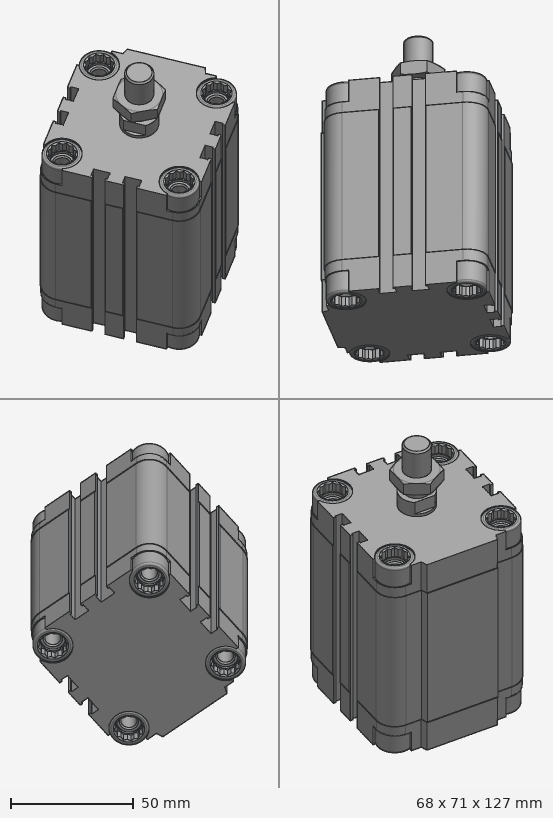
import cadquery as cq
import math

TOTAL_HEIGHT = 127.0

HOUSING_HEIGHT = 95.5
SIDE = 68.0
HALF_SIDE = SIDE / 2
CAP_LENGTH = 14.5
CAP_INSET = 0.3
SCREW_PITCH = 50.0
SCREW_OFFSET = SCREW_PITCH / 2
CORNER_RADIUS = HALF_SIDE - SCREW_OFFSET

BARREL_PAD_Y = 37.02
CAP_PAD_Y = 36.6
PAD_BASE_HALF_WIDTH = 17.7
PAD_TOP_HALF_WIDTH = 16.6

SLOT_OFFSET = 6.7
SLOT_DEPTH = 4.8
SLOT_WIDTH = 7.0
SLOT_MOUTH_WIDTH = 5.5
SLOT_LIP = 1.5
SLOT_CHAMFER = 0.4

BOSS_DIAMETER = 16.4
BOSS_HEIGHT = 9.5
BOSS_FILLET = 1.0
RELIEF_REACH = 2.7

SOCKET_POINT_DIAMETER = 12.0
SOCKET_DEPTH = 4.6
SOCKET_MOUTH_DIAMETER = 12.7
SOCKET_MOUTH_DEPTH = 0.6
SEAT_DIAMETER = 10.2
SEAT_DEPTH = 5.8
LEAD_IN_DIAMETER = 7.9
SCREW_HOLE_DIAMETER = 6.6

ROD_DIAMETER = 16.0
SHOULDER_Z = 102.7
FLATS_Z = 96.9
ACROSS_FLATS = 13.0
THREAD_DIAMETER = 12.0
UNDERCUT_DIAMETER = 10.7
UNDERCUT_TOP_Z = 105.4
ROD_TIP_CHAMFER = 0.8

NUT_ACROSS_FLATS = 19.0
NUT_HEIGHT = 6.0
NUT_BOTTOM_Z = 107.8
NUT_CHAMFER_ANGLE = 15.0


def square_section(bottom, height, inset, pad_y):
    """Rounded square prism with the sloped pad on its +Y side."""
    side = SIDE - 2 * inset
    ledge_y = side / 2
    square = (
        cq.Workplane("XY", origin=(0, 0, bottom))
        .rect(side, side)
        .extrude(height)
        .edges("|Z")
        .fillet(CORNER_RADIUS - inset)
    )
    pad = (
        cq.Workplane("XY", origin=(0, 0, bottom))
        .moveTo(-PAD_BASE_HALF_WIDTH, 0)
        .lineTo(-PAD_BASE_HALF_WIDTH, ledge_y)
        .lineTo(-PAD_TOP_HALF_WIDTH, pad_y)
        .lineTo(PAD_TOP_HALF_WIDTH, pad_y)
        .lineTo(PAD_BASE_HALF_WIDTH, ledge_y)
        .lineTo(PAD_BASE_HALF_WIDTH, 0)
        .close()
        .extrude(height)
    )
    return square.union(pad)


def slot_pair():
    """Two T-slots with chamfered mouths along the full height of the -Y side."""
    half_mouth = SLOT_MOUTH_WIDTH / 2
    half_chamber = SLOT_WIDTH / 2
    lip_y = -HALF_SIDE + SLOT_LIP
    floor_y = -HALF_SIDE + SLOT_DEPTH
    half_opening = half_mouth + SLOT_CHAMFER
    slot = (
        cq.Workplane("XY")
        .moveTo(-half_opening, -HALF_SIDE)
        .lineTo(-half_mouth, -HALF_SIDE + SLOT_CHAMFER)
        .lineTo(-half_mouth, lip_y)
        .lineTo(-half_chamber, lip_y)
        .lineTo(-half_chamber, floor_y)
        .lineTo(half_chamber, floor_y)
        .lineTo(half_chamber, lip_y)
        .lineTo(half_mouth, lip_y)
        .lineTo(half_mouth, -HALF_SIDE + SLOT_CHAMFER)
        .lineTo(half_opening, -HALF_SIDE)
        .close()
        .extrude(HOUSING_HEIGHT)
    )
    return slot.translate((-SLOT_OFFSET, 0, 0)).union(slot.translate((SLOT_OFFSET, 0, 0)))


def corner_relief():
    """Space cleared around the boss of the -X, -Y top corner."""
    size = HALF_SIDE - SCREW_OFFSET + RELIEF_REACH
    base_z = HOUSING_HEIGHT - BOSS_HEIGHT
    square = cq.Workplane("XY").box(size, size, BOSS_HEIGHT, centered=False)
    square = square.translate((-HALF_SIDE, -HALF_SIDE, base_z))
    around_boss = (
        cq.Workplane("XY", origin=(-SCREW_OFFSET, -SCREW_OFFSET, base_z))
        .circle(BOSS_DIAMETER / 2)
        .extrude(BOSS_HEIGHT)
    )
    return square.union(around_boss)


def corner_boss():
    """Round boss of the -X, -Y top corner."""
    return (
        cq.Workplane("XY", origin=(-SCREW_OFFSET, -SCREW_OFFSET, HOUSING_HEIGHT - BOSS_HEIGHT))
        .circle(BOSS_DIAMETER / 2)
        .extrude(BOSS_HEIGHT)
        .faces(">Z")
        .edges()
        .fillet(BOSS_FILLET)
    )


def corner_socket():
    """Twelve-point socket and its half of the screw hole in the -X, -Y top corner."""
    top = HOUSING_HEIGHT
    mouth_radius = SOCKET_MOUTH_DIAMETER / 2
    seat_radius = SEAT_DIAMETER / 2
    lead_in_radius = LEAD_IN_DIAMETER / 2
    hole_radius = SCREW_HOLE_DIAMETER / 2
    seat_z = top - SEAT_DEPTH
    socket = (
        cq.Workplane("XZ")
        .moveTo(0, top)
        .lineTo(mouth_radius, top)
        .lineTo(seat_radius, top - SOCKET_MOUTH_DEPTH)
        .lineTo(seat_radius, seat_z)
        .lineTo(lead_in_radius, seat_z)
        .lineTo(hole_radius, seat_z - (lead_in_radius - hole_radius))
        .lineTo(hole_radius, top / 2)
        .lineTo(0, top / 2)
        .close()
        .revolve(360, (0, 0, 0), (0, 1, 0))
    )
    for turn in (0, 30):
        hexagon = (
            cq.Workplane("XY", origin=(0, 0, top - SOCKET_DEPTH))
            .polygon(6, SOCKET_POINT_DIAMETER)
            .extrude(SOCKET_DEPTH)
            .rotate((0, 0, 0), (0, 0, 1), turn)
        )
        socket = socket.union(hexagon)
    return socket.translate((-SCREW_OFFSET, -SCREW_OFFSET, 0))


def at_all_corners(shape):
    """Copies of a -X, -Y top corner shape at the four top and four bottom corners."""
    top_copies = [shape.rotate((0, 0, 0), (0, 0, 1), 90 * i) for i in range(4)]
    middle = (0, 0, HOUSING_HEIGHT / 2)
    bottom_copies = [copy.mirror("XY", middle) for copy in top_copies]
    return top_copies + bottom_copies


def make_housing():
    barrel_length = HOUSING_HEIGHT - 2 * CAP_LENGTH
    housing = square_section(CAP_LENGTH, barrel_length, 0, BARREL_PAD_Y)
    for cap_bottom in (0, HOUSING_HEIGHT - CAP_LENGTH):
        housing = housing.union(square_section(cap_bottom, CAP_LENGTH, CAP_INSET, CAP_PAD_Y))
    for turn in (0, 90, -90):
        housing = housing.cut(slot_pair().rotate((0, 0, 0), (0, 0, 1), turn))
    for relief in at_all_corners(corner_relief()):
        housing = housing.cut(relief)
    for boss in at_all_corners(corner_boss()):
        housing = housing.union(boss)
    for socket in at_all_corners(corner_socket()):
        housing = housing.cut(socket)
    return housing


def make_rod():
    """Piston rod with wrench flats, a thread undercut and a plain thread cylinder."""
    rod_radius = ROD_DIAMETER / 2
    thread_radius = THREAD_DIAMETER / 2
    undercut_radius = UNDERCUT_DIAMETER / 2
    rod = (
        cq.Workplane("XZ")
        .moveTo(0, HOUSING_HEIGHT)
        .lineTo(rod_radius, HOUSING_HEIGHT)
        .lineTo(rod_radius, SHOULDER_Z)
        .lineTo(undercut_radius, SHOULDER_Z)
        .lineTo(undercut_radius, UNDERCUT_TOP_Z)
        .lineTo(thread_radius, UNDERCUT_TOP_Z + thread_radius - undercut_radius)
        .lineTo(thread_radius, TOTAL_HEIGHT - ROD_TIP_CHAMFER)
        .lineTo(thread_radius - ROD_TIP_CHAMFER, TOTAL_HEIGHT)
        .lineTo(0, TOTAL_HEIGHT)
        .close()
        .revolve(360, (0, 0, 0), (0, 1, 0))
    )
    flat_depth = (ROD_DIAMETER - ACROSS_FLATS) / 2
    flat_y = ACROSS_FLATS / 2 + flat_depth / 2
    flats = (
        cq.Workplane("XY", origin=(0, 0, FLATS_Z))
        .pushPoints([(0, -flat_y), (0, flat_y)])
        .rect(ROD_DIAMETER, flat_depth)
        .extrude(SHOULDER_Z - FLATS_Z)
    )
    return rod.cut(flats)


def make_nut():
    """Hexagon nut with points on the Y axis and cone-chamfered corners."""
    flat_radius = NUT_ACROSS_FLATS / 2
    point_radius = flat_radius / math.cos(math.radians(30))
    corner_drop = (point_radius - flat_radius) * math.tan(math.radians(NUT_CHAMFER_ANGLE))
    hexagon = (
        cq.Workplane("XY")
        .polygon(6, 2 * point_radius)
        .extrude(NUT_HEIGHT)
        .rotate((0, 0, 0), (0, 0, 1), 90)
    )
    corner_cone = (
        cq.Workplane("XZ")
        .moveTo(0, 0)
        .lineTo(flat_radius, 0)
        .lineTo(point_radius, corner_drop)
        .lineTo(point_radius, NUT_HEIGHT - corner_drop)
        .lineTo(flat_radius, NUT_HEIGHT)
        .lineTo(0, NUT_HEIGHT)
        .close()
        .revolve(360, (0, 0, 0), (0, 1, 0))
    )
    bore = cq.Workplane("XY").circle(THREAD_DIAMETER / 2).extrude(NUT_HEIGHT)
    return hexagon.intersect(corner_cone).cut(bore).translate((0, 0, NUT_BOTTOM_Z))


housing = make_housing()
rod = make_rod()
nut = make_nut()

result = cq.Compound.makeCompound([body.solids().val() for body in (housing, rod, nut)])